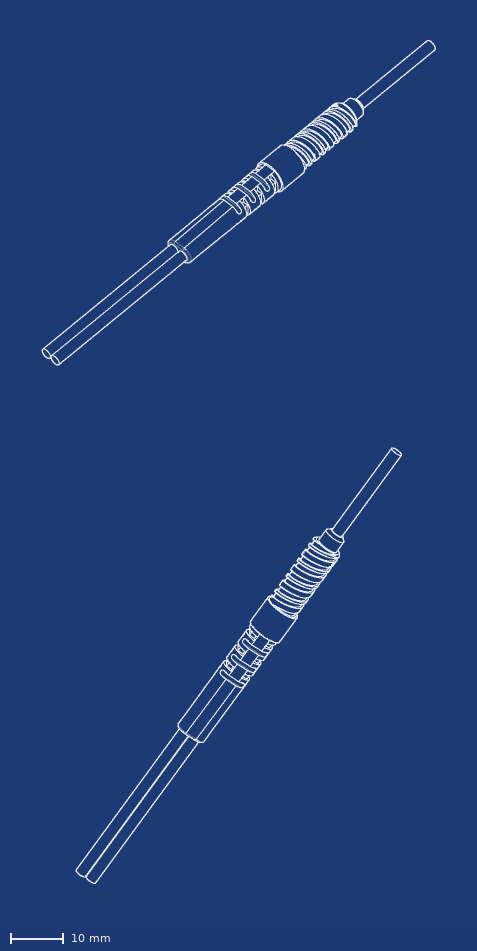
import cadquery as cq
import math


total_length = 104.0
rear_end = total_length / 2
front_end = -total_length / 2
cable_radius = 1.15
strand_radius = 1.1
strand_gap = 0.1
strand_offset = strand_radius + strand_gap / 2
strand_joint_y = -8.0

nose_rear = 32.1
grip_rear = 29.0
sleeve_rear = 13.9
sleeve_front = 8.0
barrel_front = -17.1

nose_radius = 2.05
nose_chamfer = 0.7
grip_radius = 3.05
grip_chamfer = 0.5
sleeve_radius = 3.4
barrel_half_width = 3.0
barrel_flat_half_width = 1.15
barrel_half_height_rear = 2.85
barrel_half_height_front = 1.97
barrel_end_fillet = 0.4

groove_lead = 3.75
groove_width = 1.0
groove_depth = 0.4
full_turn = 360.0
up_angle = -90.0
envelope_clearance = 0.1
groove_centers_y = (25.5, 23.3)

notch_count = 3
notch_pitch = 3.8
notch_width = 1.0
first_side_notch_y = 6.6
first_top_notch_y = first_side_notch_y - notch_pitch / 2
core_half_width = 2.3
core_half_height = 1.25
notch_reach = 2 * sleeve_radius


def rod(radius, y_start, y_end, x=0.0):
    """Round bar parallel to Y between two stations."""
    plane = cq.Plane(origin=(x, y_start, 0), xDir=(1, 0, 0), normal=(0, 1, 0))
    return cq.Workplane(plane).circle(radius).extrude(y_end - y_start)


def make_cord():
    """Round cable that divides into two parallel strands."""
    cord = rod(cable_radius, strand_joint_y, rear_end)
    for side in (-1, 1):
        cord = cord.union(rod(strand_radius, front_end, strand_joint_y, side * strand_offset))
    return cord


def polar_point(radius, angle):
    """Point at a radius and an angle in degrees from the local x axis."""
    return (radius * math.cos(math.radians(angle)), radius * math.sin(math.radians(angle)))


def make_grip():
    """Grip cylinder with two right-handed helical grooves, twisted from its cross section."""
    length = grip_rear - sleeve_rear
    degrees_per_mm = full_turn / groove_lead
    groove_angle = groove_width * degrees_per_mm
    floor_radius = grip_radius - groove_depth
    plane = cq.Plane(origin=(0, sleeve_rear, 0), xDir=(1, 0, 0), normal=(0, 1, 0))

    centers = sorted(
        (up_angle - (y - sleeve_rear) * degrees_per_mm) % full_turn for y in groove_centers_y
    )
    section = cq.Workplane(plane).moveTo(*polar_point(floor_radius, centers[0] - groove_angle / 2))
    for center, following in zip(centers, centers[1:] + [centers[0] + full_turn]):
        groove_end = center + groove_angle / 2
        next_groove = following - groove_angle / 2
        section = (
            section.threePointArc(polar_point(floor_radius, center), polar_point(floor_radius, groove_end))
            .lineTo(*polar_point(grip_radius, groove_end))
            .threePointArc(
                polar_point(grip_radius, (groove_end + next_groove) / 2),
                polar_point(grip_radius, next_groove),
            )
            .lineTo(*polar_point(floor_radius, next_groove))
        )
    threaded = section.close().twistExtrude(length, length * degrees_per_mm)
    envelope = rod(grip_radius + envelope_clearance, sleeve_rear, grip_rear)
    envelope = envelope.faces(">Y").chamfer(grip_chamfer)
    return threaded.intersect(envelope)


def barrel_section(y, half_height):
    """Closed wire with flat top and bottom joined by arcs at the sides."""
    plane = cq.Plane(origin=(0, y, 0), xDir=(1, 0, 0), normal=(0, -1, 0))
    flat = barrel_flat_half_width
    return (
        cq.Workplane(plane)
        .moveTo(-flat, half_height)
        .lineTo(flat, half_height)
        .threePointArc((barrel_half_width, 0), (flat, -half_height))
        .lineTo(-flat, -half_height)
        .threePointArc((-barrel_half_width, 0), (-flat, half_height))
        .close()
        .val()
    )


def make_top_notch(y, side):
    """Round-bottomed slot across the barrel on its top (+1) or bottom (-1)."""
    radius = notch_width / 2
    floor_center_z = core_half_height + radius
    slot = cq.Workplane("YZ", origin=(-notch_reach / 2, 0, 0))
    return (
        slot.moveTo(y - radius, side * notch_reach)
        .lineTo(y - radius, side * floor_center_z)
        .threePointArc((y, side * core_half_height), (y + radius, side * floor_center_z))
        .lineTo(y + radius, side * notch_reach)
        .close()
        .extrude(notch_reach)
    )


def make_side_notch(y):
    """Cutter that leaves only the core and the vertical web at one station."""
    ring = cq.Workplane("XY").box(notch_reach, notch_width, notch_reach)
    core = cq.Workplane("XY").box(2 * core_half_width, notch_width, 2 * core_half_height)
    web = cq.Workplane("XY").box(2 * barrel_flat_half_width, notch_width, notch_reach)
    return ring.cut(core).cut(web).translate((0, y, 0))


def make_barrel():
    """Tapering barrel with crossed flex notches at its rear."""
    rear_section = barrel_section(sleeve_front, barrel_half_height_rear)
    front_section = barrel_section(barrel_front, barrel_half_height_front)
    barrel = cq.Workplane(cq.Solid.makeLoft([rear_section, front_section], True))
    barrel = barrel.faces("<Y").edges().fillet(barrel_end_fillet)
    for index in range(notch_count):
        shift = index * notch_pitch
        barrel = barrel.cut(make_side_notch(first_side_notch_y - shift))
        for side in (-1, 1):
            barrel = barrel.cut(make_top_notch(first_top_notch_y - shift, side))
    return barrel


def make_boot(cord):
    """Moulded boot: nose, grip, sleeve and barrel with a bore that fits the cord."""
    nose = rod(nose_radius, grip_rear, nose_rear).faces(">Y").edges().chamfer(nose_chamfer)
    sleeve = rod(sleeve_radius, sleeve_front, sleeve_rear)
    return nose.union(make_grip()).union(sleeve).union(make_barrel()).cut(cord)


cord = make_cord()
boot = make_boot(cord)

result = cq.Compound.makeCompound([cord.val(), boot.val()])